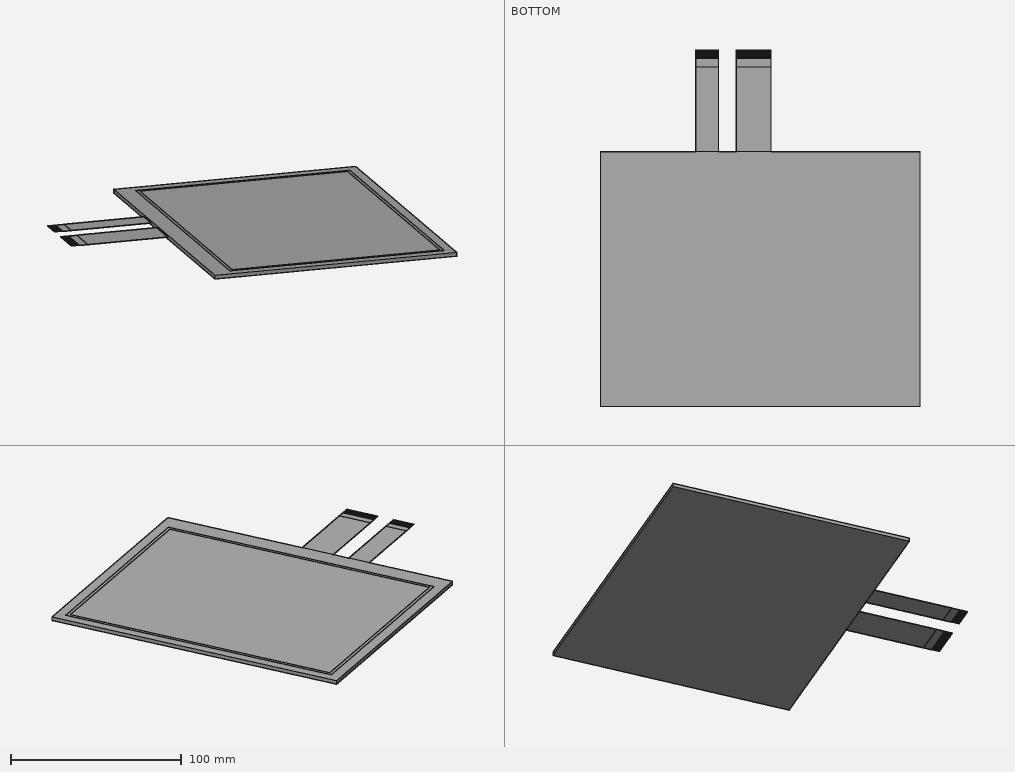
import cadquery as cq

panel_width = 187.3
panel_depth = 149.4
panel_thickness = 2.35

groove_depth = 0.1
groove_width = 2.0
groove_left_margin = 6.45
groove_right_margin = 6.15
groove_back_margin = 5.8
groove_front_margin = 11.35

tail_length = 59.5
tail_root_overlap = 1.0
film_bottom = 1.24
film_thickness = 0.07
narrow_tail_left = 55.8
wide_tail_left = 79.45

cover_thickness = 0.07
cover_setback = 10.0
backing_thickness = 0.2
backing_setback = 5.0

contact_pitch = 1.0
contact_width = 0.5
contact_thickness = 0.05
contact_edge_margin = 0.5
narrow_contact_count = 13
wide_contact_count = 20

tail_tip = -tail_length


def block(left, front, bottom, width, depth, height):
    """Box placed by its left, front, bottom corner."""
    return cq.Workplane("XY").box(width, depth, height, centered=False).translate((left, front, bottom))


def panel():
    """Plate with the framing groove cut in its top face."""
    frame_width = panel_width - groove_left_margin - groove_right_margin
    frame_depth = panel_depth - groove_front_margin - groove_back_margin
    floor = panel_thickness - groove_depth
    outer = block(groove_left_margin, groove_front_margin, floor, frame_width, frame_depth, groove_depth)
    island = block(
        groove_left_margin + groove_width,
        groove_front_margin + groove_width,
        floor,
        frame_width - 2 * groove_width,
        frame_depth - 2 * groove_width,
        groove_depth,
    )
    plate = block(0, 0, 0, panel_width, panel_depth, panel_thickness)
    return plate.cut(outer.cut(island))


def tail(left, contact_count):
    """Film with a cover layer above, a backing layer below and contacts under its tip."""
    width = contact_pitch * (contact_count - 1) + contact_width + 2 * contact_edge_margin

    def layer(bottom, thickness, setback):
        """Strip from inside the panel to a given distance short of the tip."""
        length = tail_length - setback + tail_root_overlap
        return block(left, tail_tip + setback, bottom, width, length, thickness)

    strip = layer(film_bottom, film_thickness, 0)
    strip = strip.union(layer(film_bottom + film_thickness, cover_thickness, cover_setback))
    strip = strip.union(layer(film_bottom - backing_thickness, backing_thickness, backing_setback))

    for index in range(contact_count):
        contact_left = left + contact_edge_margin + index * contact_pitch
        contact = block(
            contact_left,
            tail_tip,
            film_bottom - contact_thickness,
            contact_width,
            backing_setback,
            contact_thickness,
        )
        strip = strip.union(contact)
    return strip


result = panel()
result = result.union(tail(narrow_tail_left, narrow_contact_count))
result = result.union(tail(wide_tail_left, wide_contact_count))